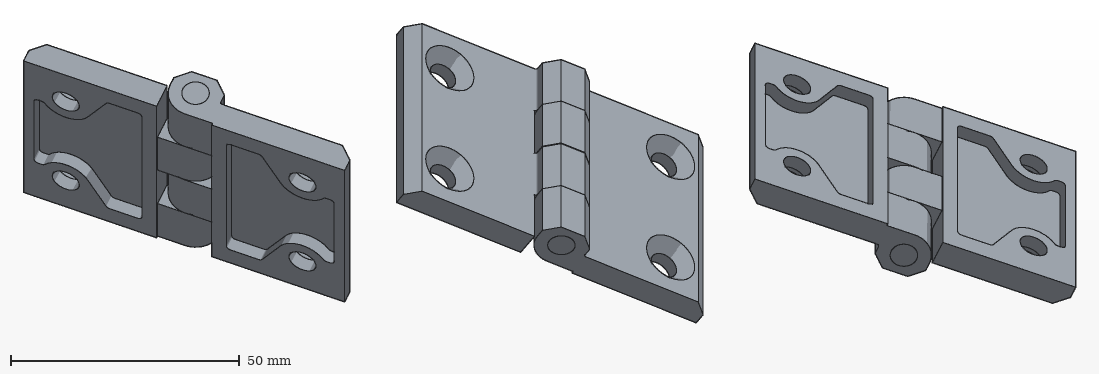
import cadquery as cq
import math

HINGE_WIDTH = 76.0
HINGE_HEIGHT = 50.0
half_width = HINGE_WIDTH / 2
half_height = HINGE_HEIGHT / 2

PLATE_THICKNESS = 6.0
PLATE_EDGE_CHAMFER = 3.0
PLATE_INNER_EDGE = 6.5

KNUCKLE_RADIUS = 6.0
KNUCKLE_STEP = 0.5
KNUCKLE_CREST = 5.0
KNUCKLE_CHAMFER = 3.0
INNER_KNUCKLE_LENGTH = 12.5
MIDDLE_GAP = 0.2
ROOT_FILLET = PLATE_INNER_EDGE - KNUCKLE_RADIUS
axis_y = KNUCKLE_STEP + KNUCKLE_RADIUS
crest_y = axis_y + KNUCKLE_CREST
inner_knuckle_bottom = MIDDLE_GAP / 2
inner_knuckle_top = inner_knuckle_bottom + INNER_KNUCKLE_LENGTH

PIN_DIAMETER = 6.0

SCREW_X = 28.0
SCREW_Z = 15.0
SCREW_DIAMETER = 6.4
COUNTERSINK_DIAMETER = 12.2
COUNTERSINK_ANGLE = 90.0

POCKET_DEPTH = 3.0
POCKET_INNER_X = 10.0
POCKET_OUTER_X = 35.5
POCKET_HALF_HEIGHT = 20.0
POCKET_CORNER_RADIUS = 1.0
SCREW_BOSS_RADIUS = 6.0
BOSS_ARC_HALF_ANGLE = math.radians(60)


def make_plate():
    """Right-hand plate with its outer back edge chamfered."""
    return (
        cq.Workplane("XY")
        .workplane(offset=-half_height)
        .moveTo(PLATE_INNER_EDGE, 0)
        .lineTo(half_width, 0)
        .lineTo(half_width, PLATE_THICKNESS - PLATE_EDGE_CHAMFER)
        .lineTo(half_width - PLATE_EDGE_CHAMFER, PLATE_THICKNESS)
        .lineTo(PLATE_INNER_EDGE, PLATE_THICKNESS)
        .close()
        .extrude(HINGE_HEIGHT)
    )


def make_knuckle(bottom_z, top_z):
    """Knuckle and its arm to the right-hand plate, filleted where the plate's back meets it."""
    arc_middle = KNUCKLE_RADIUS * math.sqrt(0.5)
    crest_half_width = KNUCKLE_RADIUS - KNUCKLE_CHAMFER
    shoulder_y = crest_y - KNUCKLE_CHAMFER
    return (
        cq.Workplane("XY")
        .workplane(offset=bottom_z)
        .moveTo(PLATE_INNER_EDGE, KNUCKLE_STEP)
        .lineTo(PLATE_INNER_EDGE, PLATE_THICKNESS)
        .radiusArc((KNUCKLE_RADIUS, PLATE_THICKNESS + ROOT_FILLET), ROOT_FILLET)
        .lineTo(KNUCKLE_RADIUS, shoulder_y)
        .lineTo(crest_half_width, crest_y)
        .lineTo(-crest_half_width, crest_y)
        .lineTo(-KNUCKLE_RADIUS, shoulder_y)
        .lineTo(-KNUCKLE_RADIUS, axis_y)
        .threePointArc((-arc_middle, axis_y - arc_middle), (0, KNUCKLE_STEP))
        .close()
        .extrude(top_z - bottom_z)
    )


def make_pocket():
    """Pocket volume that curves around both screw holes of the right-hand plate."""
    arc_half_width = SCREW_BOSS_RADIUS * math.sin(BOSS_ARC_HALF_ANGLE)
    arc_end_z = SCREW_Z - SCREW_BOSS_RADIUS * math.cos(BOSS_ARC_HALF_ANGLE)
    arc_low_z = SCREW_Z - SCREW_BOSS_RADIUS
    arc_inner_x = SCREW_X - arc_half_width
    arc_outer_x = SCREW_X + arc_half_width
    slant_run = (POCKET_HALF_HEIGHT - arc_end_z) / math.tan(BOSS_ARC_HALF_ANGLE)
    slant_top_x = arc_inner_x - slant_run
    return (
        cq.Workplane("XZ")
        .moveTo(POCKET_INNER_X, -POCKET_HALF_HEIGHT)
        .lineTo(POCKET_INNER_X, POCKET_HALF_HEIGHT)
        .lineTo(slant_top_x, POCKET_HALF_HEIGHT)
        .lineTo(arc_inner_x, arc_end_z)
        .threePointArc((SCREW_X, arc_low_z), (arc_outer_x, arc_end_z))
        .lineTo(POCKET_OUTER_X, arc_end_z)
        .lineTo(POCKET_OUTER_X, -arc_end_z)
        .lineTo(arc_outer_x, -arc_end_z)
        .threePointArc((SCREW_X, -arc_low_z), (arc_inner_x, -arc_end_z))
        .lineTo(slant_top_x, -POCKET_HALF_HEIGHT)
        .close()
        .extrude(-POCKET_DEPTH)
        .edges("|Y")
        .fillet(POCKET_CORNER_RADIUS)
    )


def cut_screw_holes(plate):
    """Screw holes, countersunk from the back of the plate."""
    return (
        plate.faces(">Y")
        .workplane(origin=(0, PLATE_THICKNESS, 0))
        .pushPoints([(-SCREW_X, SCREW_Z), (-SCREW_X, -SCREW_Z)])
        .cskHole(SCREW_DIAMETER, COUNTERSINK_DIAMETER, COUNTERSINK_ANGLE)
    )


def make_pin():
    """Plain pin, flush with both ends of the hinge."""
    return (
        cq.Workplane("XY")
        .workplane(offset=-half_height)
        .center(0, axis_y)
        .circle(PIN_DIAMETER / 2)
        .extrude(HINGE_HEIGHT)
    )


def make_leaf():
    """Right-hand leaf with the top knuckle and the one just below mid-height."""
    leaf = cut_screw_holes(make_plate()).cut(make_pocket())
    leaf = leaf.union(make_knuckle(inner_knuckle_top, half_height))
    leaf = leaf.union(make_knuckle(-inner_knuckle_top, -inner_knuckle_bottom))
    return leaf.cut(make_pin())


right_leaf = make_leaf()
left_leaf = right_leaf.rotate((0, 0, 0), (0, 1, 0), 180)
pin = make_pin()

result = cq.Compound.makeCompound([right_leaf.val(), left_leaf.val(), pin.val()])